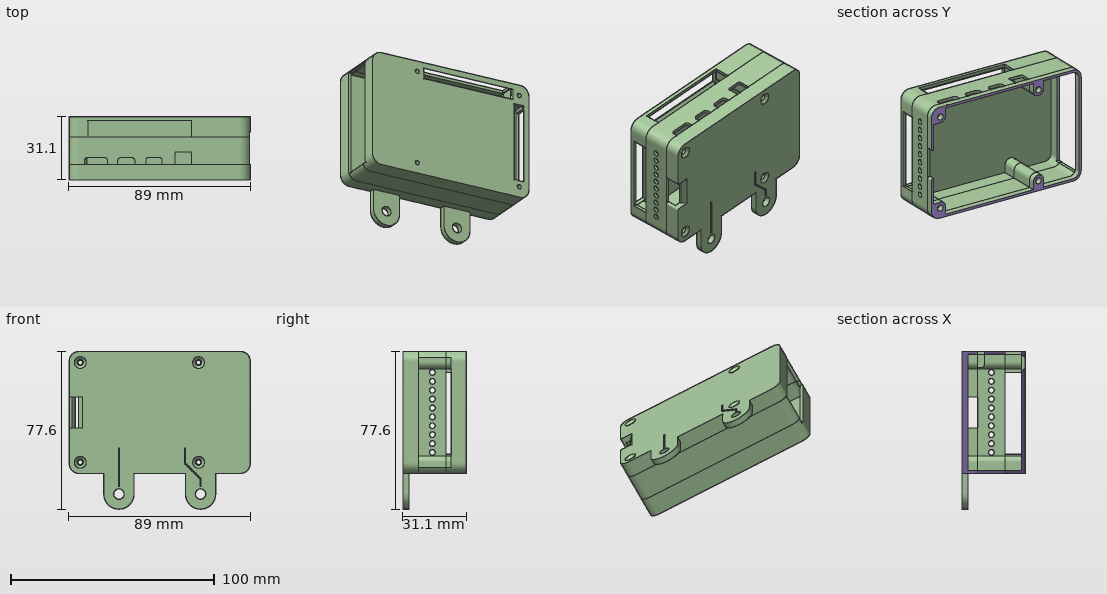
import cadquery as cq
import math

CASE_WIDTH = 89.0
CASE_HEIGHT = 60.0
CORNER_RADIUS = 5.0
WALL = 1.5
CAVITY_RADIUS = CORNER_RADIUS - WALL

BASE_PLATE = 3.0
BASE_BACK = 7.65
COVER_FRONT = 21.2
CASE_DEPTH = 31.15
BACK_PLATE = 2.05
BACK_PLATE_FRONT = CASE_DEPTH - BACK_PLATE

SCREW_INSET = 5.5
SCREW_PITCH_X = 58.0
SCREW_X = (SCREW_INSET, SCREW_INSET + SCREW_PITCH_X)
SCREW_Z = (SCREW_INSET, CASE_HEIGHT - SCREW_INSET)
POST_RADIUS = 3.2
CLEARANCE_DIAMETER = 3.0
THREAD_DIAMETER = 2.2
COUNTERSINK_DIAMETER = 5.8

TAB_PITCH = 40.05
TAB_X = (24.5, 24.5 + TAB_PITCH)
TAB_RADIUS = 7.5
TAB_DROP = 10.1
TAB_HOLE_DIAMETER = 5.0

GROOVE_WIDTH = 0.6
GROOVE_DEPTH = 0.45
GROOVE_TOP = 12.6
GROOVE_BOTTOM = -6.2
GROOVE_OFFSET = 7.65
GROOVE_BEND_TOP = 5.1
GROOVE_TURN = 45.0

CARD_HEIGHT = 15.0
CARD_DEPTH = 4.6
CARD_RAMP_RUN = 2.0
CARD_RAMP_DEPTH = 2.1
CARD_EDGE_RADIUS = 1.1

CONNECTORS = (
    (7.65, 18.8, 3.4, 1.3),
    (23.85, 32.3, 3.4, 1.7),
    (37.65, 45.7, 3.4, 1.3),
    (52.0, 60.1, 6.1, 0.8),
)
CONNECTOR_REACH = 8.9

VENT_COUNT = 10
VENT_PITCH = 4.4
VENT_DIAMETER = 2.7
VENT_Y = (BASE_BACK + COVER_FRONT) / 2

PORT_MARGIN = 3.0
PORT_BACK = 23.7
PORT_REACH = 3.6

TOP_WINDOW_X = (9.3, 60.1)
SIDE_WINDOW_Z = (9.5, 49.5)
TOP_SLOT_X = (TOP_WINDOW_X[0], 59.8)
SIDE_SLOT_Z = (8.8, SIDE_WINDOW_Z[1])
SLOT_FAR_EDGE = 8.4
SLOT_LIP = 1.6
PANEL_LIP = 0.45
PANEL_BEVEL = BACK_PLATE - PANEL_LIP


def box(x_range, y_range, z_range):
    """Box between the given limits on each axis."""
    size = [high - low for low, high in (x_range, y_range, z_range)]
    corner = (x_range[0], y_range[0], z_range[0])
    return cq.Workplane("XY").box(*size, centered=False).translate(corner)


def rod(x, z, radius, y_range):
    """Cylinder along Y."""
    axis_start = cq.Vector(x, y_range[0], z)
    length = y_range[1] - y_range[0]
    return cq.Workplane(obj=cq.Solid.makeCylinder(radius, length, axis_start, cq.Vector(0, 1, 0)))


def prism_along_z(points, z_range):
    """Prism with an outline in X and Y."""
    height = z_range[1] - z_range[0]
    return cq.Workplane("XY", origin=(0, 0, z_range[0])).polyline(points).close().extrude(height)


def prism_along_x(points, x_range):
    """Prism with an outline in Y and Z."""
    length = x_range[1] - x_range[0]
    return cq.Workplane("YZ", origin=(x_range[0], 0, 0)).polyline(points).close().extrude(length)


def rounded_block(inset, radius, y_range):
    """Block with rounded corners, inset on all sides from the case outline."""
    block = box((inset, CASE_WIDTH - inset), y_range, (inset, CASE_HEIGHT - inset))
    return block.edges("|Y").fillet(radius)


def screw_posts(y_range):
    """Round posts, each with a web to the top or bottom wall; the left ones also join the left wall."""
    posts = cq.Workplane("XY")
    for x in SCREW_X:
        for z in SCREW_Z:
            wall_z = WALL / 2 if z == SCREW_Z[0] else CASE_HEIGHT - WALL / 2
            z_range = (min(z, wall_z), max(z, wall_z))
            posts = posts.add(rod(x, z, POST_RADIUS, y_range))
            posts = posts.add(box((x - POST_RADIUS, x + POST_RADIUS), y_range, z_range))
            if x == SCREW_X[0]:
                posts = posts.add(box((WALL / 2, x), y_range, (z - POST_RADIUS, z + POST_RADIUS)))
    outline = rounded_block(0, CORNER_RADIUS, y_range)
    return posts.combine().intersect(outline)


def shell(y_range, cavity_range):
    """Rounded case section with its cavity and the screw posts inside it."""
    outer = rounded_block(0, CORNER_RADIUS, y_range)
    cavity = rounded_block(WALL, CAVITY_RADIUS, cavity_range)
    return outer.cut(cavity).union(screw_posts(cavity_range))


def drill_screws(body, diameter, y_range):
    for x in SCREW_X:
        for z in SCREW_Z:
            body = body.cut(rod(x, z, diameter / 2, y_range))
    return body


def port_opening(y_range):
    """Opening through the right wall between the top and bottom margins."""
    x_range = (CASE_WIDTH - PORT_REACH, CASE_WIDTH)
    return box(x_range, y_range, (PORT_MARGIN, CASE_HEIGHT - PORT_MARGIN))


def add_tabs(body):
    for x in TAB_X:
        tab = box((x - TAB_RADIUS, x + TAB_RADIUS), (0, BASE_PLATE), (-TAB_DROP, WALL))
        tab = tab.union(rod(x, -TAB_DROP, TAB_RADIUS, (0, BASE_PLATE)))
        body = body.union(tab)
    for x in TAB_X:
        body = body.cut(rod(x, -TAB_DROP, TAB_HOLE_DIAMETER / 2, (0, BASE_PLATE)))
    return body


def cut_grooves(body):
    """A straight groove at the left tab and a groove with a diagonal jog at the right tab."""
    left_x, right_x = TAB_X
    upper_x = right_x - GROOVE_OFFSET
    bend_bottom = GROOVE_BEND_TOP - GROOVE_OFFSET / math.tan(math.radians(GROOVE_TURN))
    half_width = GROOVE_WIDTH / 2
    miter = half_width * math.tan(math.radians(GROOVE_TURN / 2))
    left_edges = []
    right_edges = []
    for side, edge in ((-1, left_edges), (1, right_edges)):
        shift = side * half_width
        edge.append((upper_x + shift, GROOVE_TOP))
        edge.append((upper_x + shift, GROOVE_BEND_TOP + side * miter))
        edge.append((right_x + shift, bend_bottom + side * miter))
        edge.append((right_x + shift, GROOVE_BOTTOM))
    jogged_outline = left_edges + right_edges[::-1]
    jogged = cq.Workplane("XZ").polyline(jogged_outline).close().extrude(-GROOVE_DEPTH)
    straight = box(
        (left_x - half_width, left_x + half_width),
        (0, GROOVE_DEPTH),
        (GROOVE_BOTTOM, GROOVE_TOP),
    )
    return body.cut(straight).cut(jogged)


def cut_card_notch(body):
    """Notch through the left edge with a ramp at the front and rounded entry edges."""
    z_range = ((CASE_HEIGHT - CARD_HEIGHT) / 2, (CASE_HEIGHT + CARD_HEIGHT) / 2)
    outline = [
        (0, 0),
        (CARD_DEPTH + CARD_RAMP_RUN, 0),
        (CARD_DEPTH, CARD_RAMP_DEPTH),
        (CARD_DEPTH, BASE_BACK),
        (0, BASE_BACK),
    ]
    body = body.cut(prism_along_z(outline, z_range))
    middle_z = CASE_HEIGHT / 2
    reach = CARD_HEIGHT / 2 + CARD_EDGE_RADIUS
    entry_edges = cq.selectors.BoxSelector(
        (-WALL / 2, 0, middle_z - reach),
        (WALL / 2, BASE_BACK, middle_z + reach),
    )
    return body.edges("|Y").edges(entry_edges).fillet(CARD_EDGE_RADIUS)


def cut_countersinks(body):
    """Right-angled cones that narrow from the front face to the clearance holes."""
    outer_radius = COUNTERSINK_DIAMETER / 2
    inner_radius = CLEARANCE_DIAMETER / 2
    depth = outer_radius - inner_radius
    for x in SCREW_X:
        for z in SCREW_Z:
            centre = cq.Vector(x, 0, z)
            cone = cq.Solid.makeCone(outer_radius, inner_radius, depth, centre, cq.Vector(0, 1, 0))
            body = body.cut(cq.Workplane(obj=cone))
    return body


def make_base():
    body = shell((0, BASE_BACK), (BASE_PLATE, BASE_BACK))
    body = cut_card_notch(body)
    body = add_tabs(body)
    body = drill_screws(body, CLEARANCE_DIAMETER, (0, BASE_BACK))
    body = cut_countersinks(body)
    return cut_grooves(body)


def cut_connectors(body):
    """Openings in the top wall, open toward the base, with rounded far corners."""
    for left, right, depth, radius in CONNECTORS:
        opening = box(
            (left, right),
            (BASE_BACK, BASE_BACK + depth),
            (CASE_HEIGHT - CONNECTOR_REACH, CASE_HEIGHT),
        )
        body = body.cut(opening.edges("|Z and >Y").fillet(radius))
    return body


def cut_vents(body):
    first_z = CASE_HEIGHT / 2 - VENT_PITCH * (VENT_COUNT - 1) / 2
    for index in range(VENT_COUNT):
        start = cq.Vector(0, VENT_Y, first_z + index * VENT_PITCH)
        vent = cq.Solid.makeCylinder(VENT_DIAMETER / 2, WALL, start, cq.Vector(1, 0, 0))
        body = body.cut(cq.Workplane(obj=vent))
    return body


def make_middle():
    y_range = (BASE_BACK, COVER_FRONT)
    body = shell(y_range, y_range)
    body = cut_connectors(body)
    body = cut_vents(body)
    body = body.cut(port_opening(y_range))
    return drill_screws(body, THREAD_DIAMETER, y_range)


def slot_outline():
    """Funnel profile of a back slot as pairs of inset from the case side and Y."""
    return [
        (WALL, BACK_PLATE_FRONT),
        (WALL + SLOT_LIP, CASE_DEPTH),
        (SLOT_FAR_EDGE, CASE_DEPTH),
        (SLOT_FAR_EDGE, CASE_DEPTH - PANEL_LIP),
        (SLOT_FAR_EDGE + PANEL_BEVEL, BACK_PLATE_FRONT),
    ]


def cut_cover_windows(body):
    window_y = (COVER_FRONT, BACK_PLATE_FRONT)
    body = body.cut(box(TOP_WINDOW_X, window_y, (CASE_HEIGHT - WALL, CASE_HEIGHT)))
    body = body.cut(box((0, WALL), window_y, SIDE_WINDOW_Z))
    top_outline = [(y, CASE_HEIGHT - inset) for inset, y in slot_outline()]
    body = body.cut(prism_along_x(top_outline, TOP_SLOT_X))
    return body.cut(prism_along_z(slot_outline(), SIDE_SLOT_Z))


def make_cover():
    body = shell((COVER_FRONT, CASE_DEPTH), (COVER_FRONT, BACK_PLATE_FRONT))
    body = cut_cover_windows(body)
    body = body.cut(port_opening((COVER_FRONT, PORT_BACK)))
    return drill_screws(body, THREAD_DIAMETER, (COVER_FRONT, CASE_DEPTH))


base = make_base()
middle = make_middle()
cover = make_cover()

result = cq.Compound.makeCompound(
    [base.solids().val(), middle.solids().val(), cover.solids().val()]
)